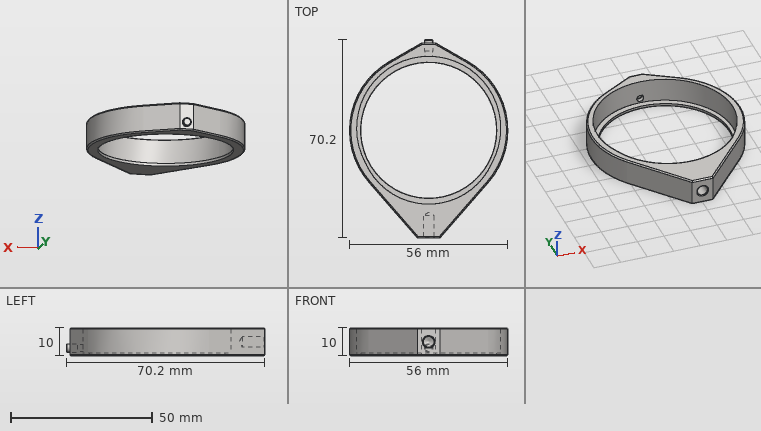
import cadquery as cq
import math

ring_diameter = 56.0
height = 10.0
edge_chamfer = 0.5
rear_bore_radius = 25.5
rear_bore_offset = 0.7
front_bore_radius = 24.4
front_bore_offset = 1.7
lip_diameter = 48.0
lip_thickness = 1.0

front_flat_y = -38.1
front_flat_width = 7.85
rear_flat_y = 30.9
rear_flat_width = 4.9

front_hole_diameter = 3.8
front_hole_depth = 8.0
front_hole_mouth_diameter = 4.4
drill_tip_angle = 118

screw_diameter = 3.0
screw_length = 4.0
screw_end_y = 32.1
screw_chamfer = 0.3
screw_z = -2.2

passage_diameter = 2.5


def tangent_point(x, y):
    """Point where the line from (x, y), right of the axis, touches the ring's right side."""
    radius = ring_diameter / 2
    swing = math.acos(radius / math.hypot(x, y))
    angle = math.atan2(y, x) - math.copysign(swing, y)
    return radius * math.cos(angle), radius * math.sin(angle)


def cylinder_along_y(diameter, y_start, length, z):
    """Cylinder running from y_start toward +Y."""
    plane = cq.Plane(origin=(0, y_start, z), xDir=(1, 0, 0), normal=(0, 1, 0))
    return cq.Workplane(plane).circle(diameter / 2).extrude(length)


def vertical_cylinder(radius, y, rise):
    """Upright cutter centred at y that starts the given rise above the housing's bottom face."""
    return cq.Workplane("XY", origin=(0, y, rise - height / 2)).circle(radius).extrude(height)


def make_housing_blank():
    front_x = front_flat_width / 2
    rear_x = rear_flat_width / 2
    front_tangent_x, front_tangent_y = tangent_point(front_x, front_flat_y)
    rear_tangent_x, rear_tangent_y = tangent_point(rear_x, rear_flat_y)
    return (
        cq.Workplane("XY", origin=(0, 0, -height / 2))
        .moveTo(-front_x, front_flat_y)
        .lineTo(front_x, front_flat_y)
        .lineTo(front_tangent_x, front_tangent_y)
        .threePointArc((ring_diameter / 2, 0), (rear_tangent_x, rear_tangent_y))
        .lineTo(rear_x, rear_flat_y)
        .lineTo(-rear_x, rear_flat_y)
        .lineTo(-rear_tangent_x, rear_tangent_y)
        .threePointArc((-ring_diameter / 2, 0), (-front_tangent_x, front_tangent_y))
        .close()
        .extrude(height)
        .faces("<Z or >Z")
        .edges()
        .chamfer(edge_chamfer)
    )


def make_bore():
    """Through opening below a seat of two offset circles, which leaves a thin lip at the bottom."""
    opening = vertical_cylinder(lip_diameter / 2, 0, 0)
    rear_seat = vertical_cylinder(rear_bore_radius, rear_bore_offset, lip_thickness)
    front_seat = vertical_cylinder(front_bore_radius, -front_bore_offset, lip_thickness)
    seat = rear_seat.union(front_seat)
    return opening.union(seat)


def make_front_hole():
    """Blind hole with a chamfered mouth and a conical drill tip, revolved about Y."""
    radius = front_hole_diameter / 2
    mouth_radius = front_hole_mouth_diameter / 2
    bottom_y = front_flat_y + front_hole_depth
    tip_y = bottom_y + radius / math.tan(math.radians(drill_tip_angle / 2))
    return (
        cq.Workplane("XY")
        .moveTo(0, front_flat_y)
        .lineTo(mouth_radius, front_flat_y)
        .lineTo(radius, front_flat_y + mouth_radius - radius)
        .lineTo(radius, bottom_y)
        .lineTo(0, tip_y)
        .close()
        .revolve(360, (0, 0, 0), (0, 1, 0))
    )


def make_screw_hole():
    """Socket for the set screw, continued by the narrow passage into the bore."""
    screw_tip_y = screw_end_y - screw_length
    socket = cylinder_along_y(screw_diameter, screw_tip_y, screw_length, screw_z)
    passage = cylinder_along_y(passage_diameter, 0, screw_tip_y, screw_z)
    return socket.union(passage)


def make_housing():
    screw_hole = make_screw_hole()
    return make_housing_blank().cut(make_bore()).cut(make_front_hole()).cut(screw_hole)


def make_set_screw():
    screw = cylinder_along_y(screw_diameter, screw_end_y - screw_length, screw_length, screw_z)
    return screw.faces(">Y").edges().chamfer(screw_chamfer)


housing = make_housing()
set_screw = make_set_screw()
result = cq.Compound.makeCompound([housing.val(), set_screw.val()])